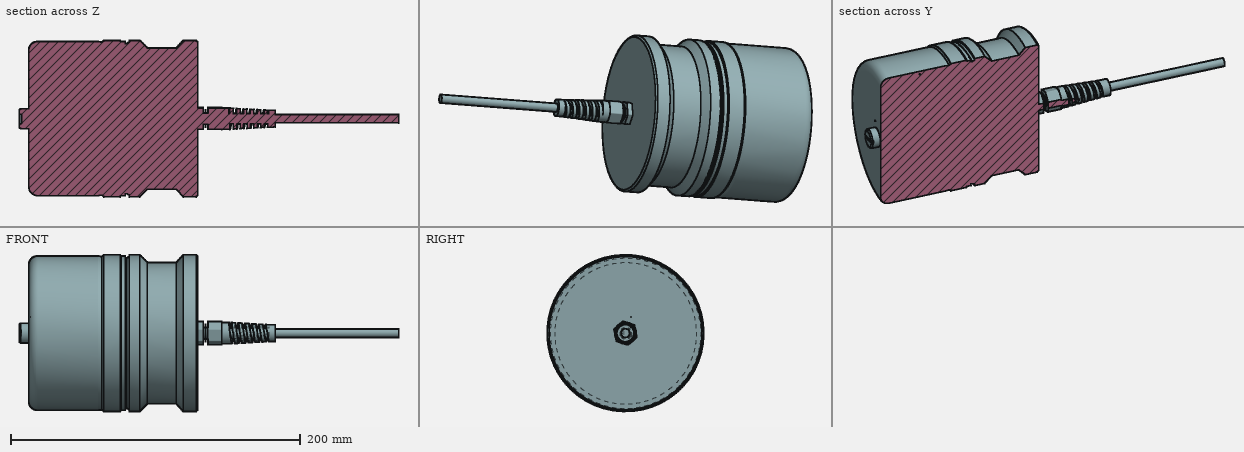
import cadquery as cq
import math


collar_dia = 108.5
cap_dia = 107.0
collar_foot_dia = 106.0
collar_shoulder_dia = 108.0
groove_dia = 104.0
waist_dia = 98.0
cap_edge_radius = 6.3
cap_end = 48.0
cap_rim_end = 50.7
first_collar_start = 52.0
first_collar_end = 63.3
land_start = 64.0
land_end = 67.0
groove_end = 67.8
second_collar_start = 69.5
second_collar_end = 77.0
waist_start = 82.2
waist_end = 102.2
flange_start = 107.0
drum_end = 117.0
flange_chamfer = 1.3

roll_angle = 18.4

screw_dia = 14.0
screw_height = 6.5
screw_chamfer = 1.0
slot_angle = 12
slot_width = 1.3
slot_depth = 1.5
pin_hole_dia = 0.8
pin_hole_depth = 1.3
pin_hole_offset = 11.8

hex_across_corners = 16.8
hex_corner_radius = 0.8
base_hex_length = 3.7
nut_start = 124.0
nut_length = 9.7
neck_dia = 8.1
seal_dia = 12.0
seal_length = 0.5

sleeve_dia = 15.0
sleeve_tip_dia = 11.8
sleeve_collar_length = 5.0
sleeve_tip_start = 166.0
sleeve_tip_length = 4.7
spiral_root_dia = 7.4
spiral_pitch = 4.7
spiral_turns = 6.5
spiral_width = 2.0
spiral_start = 136.8
cable_dia = 6.0
cable_end = 256.0

nut_end = nut_start + nut_length
sleeve_taper_start = nut_end + sleeve_collar_length
sleeve_end = sleeve_tip_start + sleeve_tip_length


def cylinder(start, end, diameter):
    """Cylinder on the X axis."""
    return cq.Workplane("YZ", origin=(start, 0, 0)).circle(diameter / 2).extrude(end - start)


def hexagon(start, length):
    """Hexagonal prism on the X axis with a corner on Y, turned by the roll angle."""
    prism = cq.Workplane("YZ", origin=(start, 0, 0)).polygon(6, hex_across_corners).extrude(length)
    return roll(prism.edges("|X").fillet(hex_corner_radius))


def roll(shape, angle=roll_angle):
    """Turn a shape about the X axis so that its -Y side rises."""
    return shape.rotate((0, 0, 0), (1, 0, 0), -angle)


def make_drum():
    """Turned body: rounded cap, two collars, waist and end flange."""
    arc_inset = cap_edge_radius * (1 - math.sqrt(0.5))
    profile = (
        cq.Workplane("XY")
        .moveTo(0, 0)
        .lineTo(0, cap_dia / 2 - cap_edge_radius)
        .threePointArc((arc_inset, cap_dia / 2 - arc_inset), (cap_edge_radius, cap_dia / 2))
        .lineTo(cap_end, cap_dia / 2)
        .lineTo(cap_rim_end, collar_foot_dia / 2)
        .lineTo(first_collar_start, collar_shoulder_dia / 2)
        .lineTo(first_collar_start, collar_dia / 2)
        .lineTo(first_collar_end, collar_dia / 2)
        .lineTo(first_collar_end, collar_shoulder_dia / 2)
        .lineTo(land_start, cap_dia / 2)
        .lineTo(land_end, cap_dia / 2)
        .lineTo(land_end, groove_dia / 2)
        .lineTo(groove_end, groove_dia / 2)
        .lineTo(second_collar_start, collar_foot_dia / 2)
        .lineTo(second_collar_start, collar_dia / 2)
        .lineTo(second_collar_end, collar_dia / 2)
        .lineTo(waist_start, waist_dia / 2)
        .lineTo(waist_end, waist_dia / 2)
        .lineTo(flange_start, collar_dia / 2)
        .lineTo(drum_end - flange_chamfer, collar_dia / 2)
        .lineTo(drum_end, collar_dia / 2 - flange_chamfer)
        .lineTo(drum_end, 0)
        .close()
    )
    return profile.revolve(360, (0, 0, 0), (1, 0, 0))


def make_screw():
    """Chamfered screw head with a slot across its face."""
    head = cylinder(-screw_height, 0, screw_dia).faces("<X").chamfer(screw_chamfer)
    slot = cq.Workplane("XY").box(2 * slot_depth, 2 * screw_dia, slot_width)
    return head.cut(roll(slot.translate((-screw_height, 0, 0)), slot_angle))


def make_pin_hole():
    """Shallow hole beside the screw."""
    return roll(cylinder(0, pin_hole_depth, pin_hole_dia).translate((0, 0, pin_hole_offset)))


def make_gland():
    """Base hexagon, neck with a thin seal ring, and clamping nut."""
    base = hexagon(drum_end, base_hex_length)
    base_end = drum_end + base_hex_length
    seal_start = (base_end + nut_start - seal_length) / 2
    neck = cylinder(drum_end, nut_start, neck_dia)
    seal = cylinder(seal_start, seal_start + seal_length, seal_dia)
    return base.union(neck).union(seal).union(hexagon(nut_start, nut_length))


def make_spiral_groove():
    """Right-handed helical cutter around the Z axis, starting on +X at Z = 0."""
    cutter_depth = sleeve_dia / 2
    path_radius = spiral_root_dia / 2 + cutter_depth / 2
    path = cq.Wire.makeHelix(spiral_pitch, spiral_pitch * spiral_turns, path_radius)
    section = cq.Workplane("XZ").center(path_radius, 0).rect(cutter_depth, spiral_width)
    return section.sweep(cq.Workplane(path), isFrenet=True)


def make_spiral_taper():
    """Cone cut by the helical groove from end to end, made upright and laid along X."""
    taper_length = sleeve_tip_start - sleeve_taper_start
    cone = (
        cq.Workplane("XY")
        .circle(sleeve_dia / 2)
        .workplane(offset=taper_length)
        .circle(sleeve_tip_dia / 2)
        .loft()
    )
    groove = make_spiral_groove().translate((0, 0, spiral_start - sleeve_taper_start))
    upright = cone.cut(groove)
    return upright.rotate((0, 0, 0), (0, 1, 0), 90).translate((sleeve_taper_start, 0, 0))


def make_sleeve():
    """Bend relief: spiral taper between a plain collar and a plain tip."""
    collar = cylinder(nut_end, sleeve_taper_start, sleeve_dia)
    tip = cylinder(sleeve_tip_start, sleeve_end, sleeve_tip_dia)
    return collar.union(make_spiral_taper()).union(tip)


result = (
    make_drum()
    .cut(make_pin_hole())
    .union(make_screw())
    .union(make_gland())
    .union(make_sleeve())
    .union(cylinder(sleeve_end, cable_end, cable_dia))
)